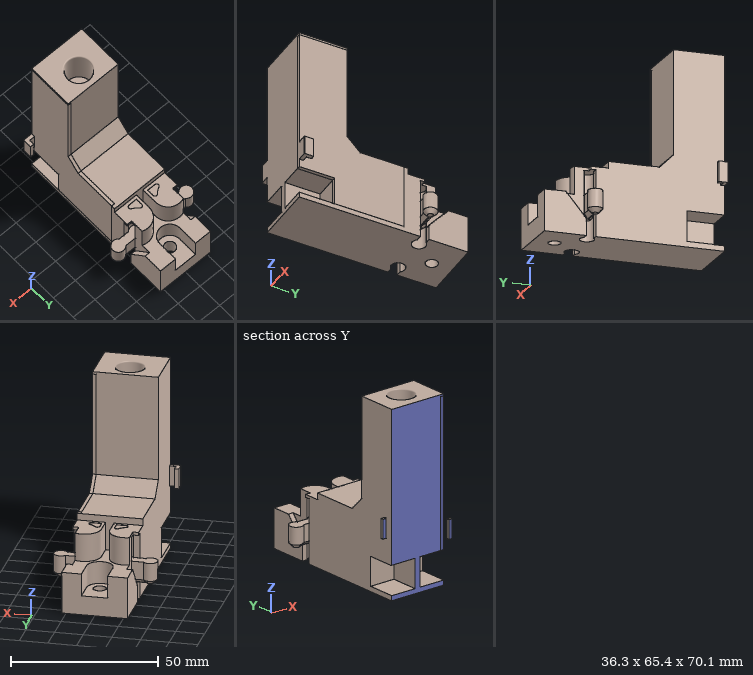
import cadquery as cq
import math


WIDTH = 23.0
LENGTH = 65.4
HEIGHT = 70.1
SIDE = WIDTH / 2
TOWER_DEPTH = 18.6
SHOULDER_HEIGHT = 27.5
SHOULDER_END = 42.1
SHOULDER_CHAMFER = 5.05
PAD_HEIGHT = 25.0
BASE_HEIGHT = 15.0

ENTRY_RADIUS = 5.0
ENTRY_ROUNDING = 0.55
ENTRY_DEPTH = 14.0
ENTRY_Y = 11.3

CHANNEL_WIDTH = 2.95
PAD_ARC_RADIUS = 5.75
PAD_ARC_X = CHANNEL_WIDTH / 2 + PAD_ARC_RADIUS
PAD_ARC_Y = 48.5

MARK_INNER_X = 2.6
MARK_OUTER_X = 6.8
MARK_START = 43.3
MARK_END = 46.9
MARK_TIP_RADIUS = 0.85
MARK_TIP_ANGLE = math.radians(30)
MARK_HOLLOW = 0.15
MARK_DEPTH = 0.1

SCREW_Y = 57.5
SCREW_RADIUS = 2.25
SEAT_RADIUS = 4.55
SEAT_HEIGHT = 7.0

FLOOR_THICKNESS = 2.0
WINDOW_TOP = 13.0
WINDOW_DEPTH = 13.7
WEB_THICKNESS = 2.45

HOOK_REACH = 3.7
HOOK_THICKNESS = 1.55
HOOK_LENGTH = 3.6
HOOK_HEIGHT = 7.35
HOOK_CHAMFER = 0.2
HOOKS_MEET_Z = 23.5

KEY_Y = 48.5
KEY_RADIUS = 2.6
KEY_TIP_X = 18.15
KEY_OFFSET = KEY_TIP_X - KEY_RADIUS - SIDE
ARM_WIDTH = 3.4
KEY_TOP = BASE_HEIGHT
KEY_BOTTOM = 6.95
KEY_CHAMFER = 1.55
SLOT_TOP = 23.9

RECESS_DEPTH = 2.0
RECESS_END = 57.6
RECESS_ANGLE = 50.0

COVER_THICKNESS = 1.3
COVER_LENGTH = 40.6
COVER_TOP = HEIGHT - 0.9


def block(x_range, y_range, z_range):
    """Box given by its lowest and highest X, Y and Z."""
    size = [high - low for low, high in (x_range, y_range, z_range)]
    corner = (x_range[0], y_range[0], z_range[0])
    return cq.Workplane("XY").box(*size, centered=False).translate(corner)


def mirrored(shape):
    """The same shape on the +X side."""
    return shape.mirror("YZ")


def side_profile():
    """Stepped outline of the housing, extruded over its full width."""
    return (
        cq.Workplane("YZ", origin=(-SIDE, 0, 0))
        .moveTo(0, 0)
        .lineTo(LENGTH, 0)
        .lineTo(LENGTH, BASE_HEIGHT)
        .lineTo(SHOULDER_END, BASE_HEIGHT)
        .lineTo(SHOULDER_END, SHOULDER_HEIGHT)
        .lineTo(TOWER_DEPTH + SHOULDER_CHAMFER, SHOULDER_HEIGHT)
        .lineTo(TOWER_DEPTH, SHOULDER_HEIGHT + SHOULDER_CHAMFER)
        .lineTo(TOWER_DEPTH, HEIGHT)
        .lineTo(0, HEIGHT)
        .close()
        .extrude(WIDTH)
    )


def pad():
    """Raised pad on the -X side, its far end rounded by one arc."""
    side_rise = math.sqrt(PAD_ARC_RADIUS**2 - (SIDE - PAD_ARC_X) ** 2)
    inner_x = -CHANNEL_WIDTH / 2
    return (
        cq.Workplane("XY")
        .moveTo(-SIDE, SHOULDER_END)
        .lineTo(-SIDE, PAD_ARC_Y + side_rise)
        .threePointArc((-PAD_ARC_X, PAD_ARC_Y + PAD_ARC_RADIUS), (inner_x, PAD_ARC_Y))
        .lineTo(inner_x, SHOULDER_END)
        .close()
        .extrude(PAD_HEIGHT)
    )


def pad_mark():
    """Shallow mark in the -X pad: two equal round tips, hollowed between, and a square corner."""
    upper_x = -MARK_INNER_X - MARK_TIP_RADIUS
    upper_y = MARK_END - MARK_TIP_RADIUS
    lower_x = -MARK_OUTER_X + MARK_TIP_RADIUS
    lower_y = MARK_START + MARK_TIP_RADIUS
    long_side = MARK_TIP_RADIUS * math.cos(MARK_TIP_ANGLE)
    short_side = MARK_TIP_RADIUS * math.sin(MARK_TIP_ANGLE)
    hollow_x = (upper_x - long_side + lower_x - short_side) / 2
    hollow_y = (upper_y + short_side + lower_y + long_side) / 2 - MARK_HOLLOW
    return (
        cq.Workplane("XY", origin=(0, 0, PAD_HEIGHT - MARK_DEPTH))
        .moveTo(-MARK_INNER_X, MARK_START)
        .lineTo(-MARK_INNER_X, upper_y)
        .threePointArc((upper_x, MARK_END), (upper_x - long_side, upper_y + short_side))
        .threePointArc((hollow_x, hollow_y), (lower_x - short_side, lower_y + long_side))
        .threePointArc((-MARK_OUTER_X, lower_y), (lower_x, MARK_START))
        .close()
        .extrude(MARK_DEPTH)
    )


def screw_seat():
    """Open-ended seat with a round inner end, and the screw hole through its floor."""
    seat = (
        cq.Workplane("XY", origin=(0, 0, SEAT_HEIGHT))
        .moveTo(-SEAT_RADIUS, LENGTH)
        .lineTo(-SEAT_RADIUS, SCREW_Y)
        .threePointArc((0, SCREW_Y - SEAT_RADIUS), (SEAT_RADIUS, SCREW_Y))
        .lineTo(SEAT_RADIUS, LENGTH)
        .close()
        .extrude(BASE_HEIGHT - SEAT_HEIGHT)
    )
    hole = cq.Workplane("XY").center(0, SCREW_Y).circle(SCREW_RADIUS).extrude(BASE_HEIGHT)
    return seat.union(hole)


def key_shape(bottom, top):
    """Two equal cylinders joined by an arm, centred on the -X side face."""
    height = top - bottom
    arm = (
        cq.Workplane("XY", origin=(-SIDE, KEY_Y, bottom))
        .rect(2 * KEY_OFFSET, ARM_WIDTH)
        .extrude(height)
    )
    ends = (
        cq.Workplane("XY", origin=(-SIDE, KEY_Y, bottom))
        .pushPoints([(-KEY_OFFSET, 0), (KEY_OFFSET, 0)])
        .circle(KEY_RADIUS)
        .extrude(height)
    )
    return arm.union(ends)


def key_recess():
    """Recess in the -X side with a floor that slopes down to the middle of the key slot."""
    run = RECESS_END - KEY_Y
    drop = run * math.tan(math.radians(RECESS_ANGLE))
    return (
        cq.Workplane("YZ", origin=(-SIDE, 0, 0))
        .moveTo(RECESS_END, PAD_HEIGHT)
        .lineTo(RECESS_END, BASE_HEIGHT)
        .lineTo(KEY_Y, BASE_HEIGHT - drop)
        .lineTo(KEY_Y, PAD_HEIGHT)
        .close()
        .extrude(RECESS_DEPTH)
    )


def window():
    """Opening at the foot of the tower, on the -X side of the web."""
    return block((-SIDE, -WEB_THICKNESS / 2), (0, WINDOW_DEPTH), (FLOOR_THICKNESS, WINDOW_TOP))


def hook(bottom):
    """L-shaped hook beside the -X side of the front face."""
    tip_x = -SIDE - HOOK_REACH
    return (
        cq.Workplane("XY", origin=(0, 0, bottom))
        .moveTo(-SIDE, 0)
        .lineTo(tip_x + HOOK_CHAMFER, 0)
        .lineTo(tip_x, HOOK_CHAMFER)
        .lineTo(tip_x, HOOK_LENGTH)
        .lineTo(tip_x + HOOK_THICKNESS, HOOK_LENGTH)
        .lineTo(tip_x + HOOK_THICKNESS, HOOK_THICKNESS)
        .lineTo(-SIDE, HOOK_THICKNESS)
        .close()
        .extrude(HOOK_HEIGHT)
    )


def cable_entry():
    """Blind round bore in the top of the tower."""
    return (
        cq.Workplane("XY", origin=(0, ENTRY_Y, HEIGHT - ENTRY_DEPTH))
        .circle(ENTRY_RADIUS)
        .extrude(ENTRY_DEPTH)
    )


def uncovered_housing():
    """Housing before the space for the side cover is taken out."""
    body = side_profile().union(pad()).union(mirrored(pad()))
    body = body.union(hook(HOOKS_MEET_Z))
    for cutter in (pad_mark(), key_recess(), key_shape(0, SLOT_TOP), window()):
        body = body.cut(cutter).cut(mirrored(cutter))
    body = body.cut(screw_seat()).cut(cable_entry())
    return body.faces(">Z").edges("%CIRCLE").fillet(ENTRY_ROUNDING)


def coupling_key():
    """Key on the -X side, chamfered all around its lower end."""
    return key_shape(KEY_BOTTOM, KEY_TOP).faces("<Z").chamfer(KEY_CHAMFER)


cover_space = block((SIDE - COVER_THICKNESS, SIDE), (0, COVER_LENGTH), (FLOOR_THICKNESS, COVER_TOP))
whole = uncovered_housing()
housing = whole.cut(cover_space)
cover = whole.intersect(cover_space).union(mirrored(hook(HOOKS_MEET_Z - HOOK_HEIGHT)))

keys = [coupling_key(), mirrored(coupling_key())]

result = cq.Compound.makeCompound([housing.val(), cover.val(), *[key.val() for key in keys]])